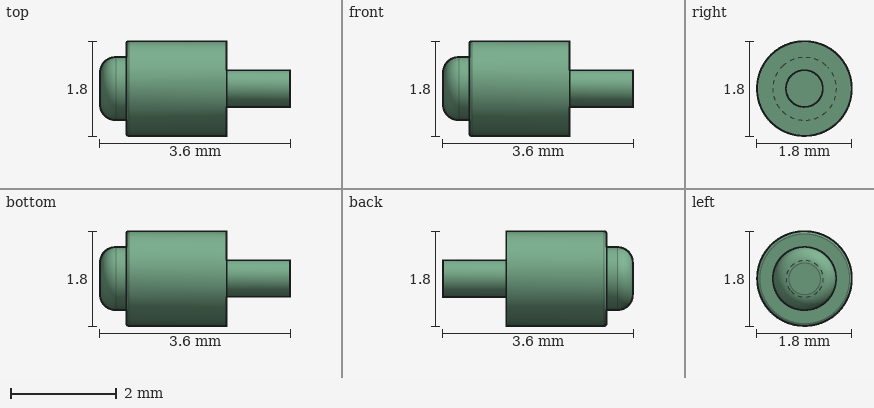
import cadquery as cq

total_length = 3.6

tip_diameter = 1.2
tip_length = 0.5
tip_rounding = tip_diameter / 4

barrel_diameter = 1.8
barrel_length = 1.9
barrel_rounding = 0.05

tail_diameter = 0.7
tail_length = total_length - tip_length - barrel_length


def cylinder_along_x(start, length, diameter):
    """Cylinder centred on the X axis, running toward +X from start."""
    return cq.Workplane("YZ", origin=(start, 0, 0)).circle(diameter / 2).extrude(length)


tip = cylinder_along_x(0, tip_length, tip_diameter).faces("<X").edges().fillet(tip_rounding)

barrel = cylinder_along_x(tip_length, barrel_length, barrel_diameter)
barrel = barrel.faces("<X").edges().fillet(barrel_rounding)

tail = cylinder_along_x(tip_length + barrel_length, tail_length, tail_diameter)

result = barrel.union(tip).union(tail)